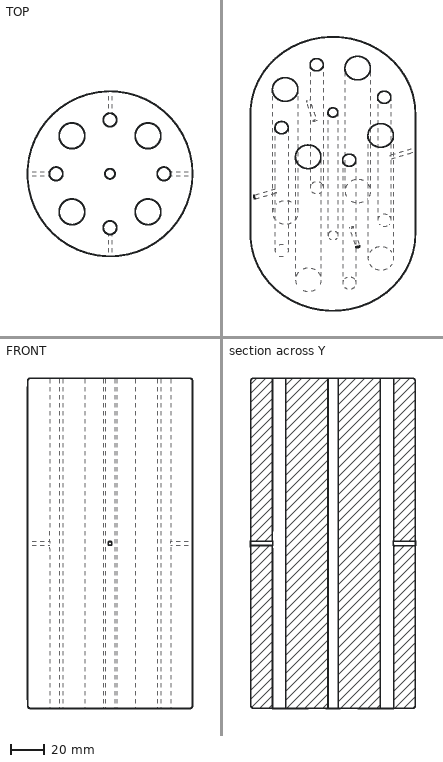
import cadquery as cq
import math

diameter = 100.0
length = 200.0
edge_fillet = 2.0

center_hole_diameter = 6.0
large_hole_diameter = 15.5
large_hole_offset = 23.0
small_hole_diameter = 8.0
small_hole_circle_radius = 32.5

radial_port_diameter = 2.5

body = cq.Workplane("XY").circle(diameter / 2).extrude(length)
body = body.faces("<Z or >Z").edges().fillet(edge_fillet)


def drill_lengthwise(solid, points, hole_diameter):
    """Cut holes parallel to the axis, right through the body."""
    drills = cq.Workplane("XY").pushPoints(points).circle(hole_diameter / 2).extrude(length)
    return solid.cut(drills)


def ring_points(radius, start_angle):
    """Four equally spaced points on a circle."""
    angles = [math.radians(start_angle + 90 * i) for i in range(4)]
    return [(radius * math.cos(a), radius * math.sin(a)) for a in angles]


large_hole_circle_radius = large_hole_offset * math.sqrt(2)
body = drill_lengthwise(body, [(0, 0)], center_hole_diameter)
body = drill_lengthwise(body, ring_points(large_hole_circle_radius, 45), large_hole_diameter)
body = drill_lengthwise(body, ring_points(small_hole_circle_radius, 0), small_hole_diameter)

port_depth = diameter / 2 - small_hole_circle_radius
for x, y in ring_points(small_hole_circle_radius, 0):
    port = cq.Solid.makeCylinder(
        radial_port_diameter / 2,
        port_depth,
        pnt=cq.Vector(x, y, length / 2),
        dir=cq.Vector(x, y, 0),
    )
    body = body.cut(cq.Workplane(port))

result = body